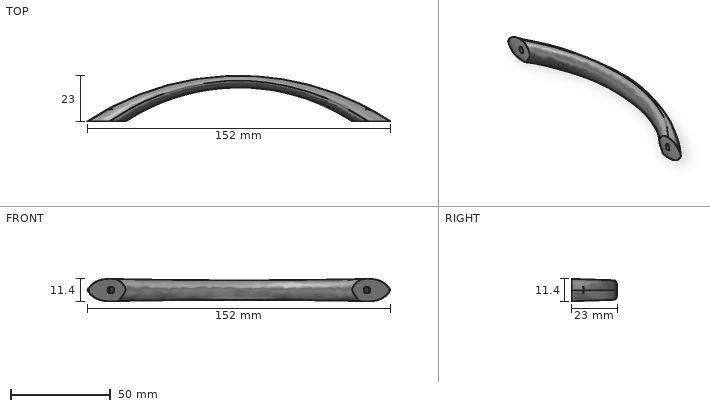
import cadquery as cq
import math

LENGTH = 152.0
RISE = 23.0
INNER_SPAN = 113.7
INNER_RISE = 16.9

MIDDLE_WIDTH = 10.0
FOOT_WIDTH = 11.4
MIDDLE_SIDE_POSITION = 0.4
FOOT_SIDE_POSITION = 0.58
FOOT_TIP_HALF_ANGLE = 60.0
SMOOTH_HALF_ANGLE = 90.0
SECTION_STEPS = 4

HOLE_SPACING = 128.3
HOLE_DIAMETER = 3.3
HOLE_DEPTH = 6.1


def arc_point(span, rise, fraction):
    """Point on the arc of the given span and rise: fraction 0 is the crown, 1 is the right end."""
    radius = ((span / 2) ** 2 + rise**2) / (2 * rise)
    angle = fraction * math.asin(span / 2 / radius)
    return cq.Vector(radius * math.sin(angle), rise - radius * (1 - math.cos(angle)), 0)


def blend(middle, foot, amount):
    return middle + (foot - middle) * amount


def section(fraction):
    """Closed section reaching from the outer arc to the inner arc."""
    amount = abs(fraction)
    tip = arc_point(LENGTH, RISE, fraction)
    heel = arc_point(INNER_SPAN, INNER_RISE, fraction)
    inward = (heel - tip).normalized()
    up = cq.Vector(0, 0, 1)

    widest = tip + (heel - tip) * blend(MIDDLE_SIDE_POSITION, FOOT_SIDE_POSITION, amount)
    half_width = up * (blend(MIDDLE_WIDTH, FOOT_WIDTH, amount**2) / 2)
    upper = widest + half_width
    lower = widest - half_width

    diagonal = math.sqrt(0.5)
    upper_shoulder = widest + (heel - widest) * diagonal + half_width * diagonal
    lower_shoulder = widest + (heel - widest) * diagonal - half_width * diagonal

    flank_angle = math.radians(blend(SMOOTH_HALF_ANGLE, FOOT_TIP_HALF_ANGLE, amount))
    along = inward * math.cos(flank_angle)
    across = up * math.sin(flank_angle)
    outward = inward * -1
    inner_points = [upper, upper_shoulder, heel, lower_shoulder, lower]
    edges = [
        cq.Edge.makeSpline([tip, upper], tangents=[along + across, inward]),
        cq.Edge.makeSpline(inner_points, tangents=[inward, outward]),
        cq.Edge.makeSpline([lower, tip], tangents=[outward, across - along]),
    ]
    return cq.Wire.assembleEdges(edges)


def bowed_bar():
    steps = range(-SECTION_STEPS, SECTION_STEPS + 1)
    sections = [section(step / SECTION_STEPS) for step in steps]
    return cq.Workplane(cq.Solid.makeLoft(sections))


def screw_holes():
    centers = [(-HOLE_SPACING / 2, 0), (HOLE_SPACING / 2, 0)]
    return cq.Workplane("XZ").pushPoints(centers).circle(HOLE_DIAMETER / 2).extrude(-HOLE_DEPTH)


result = bowed_bar().cut(screw_holes())